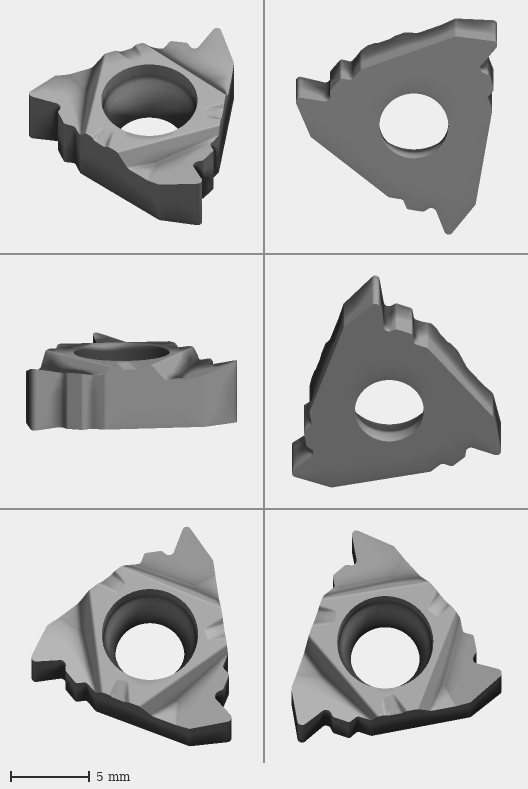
import cadquery as cq
import math

CORNERS = 3
CORNER_STEP = 360 / CORNERS
THICKNESS = 4.1
INRADIUS = 4.76

SHOULDER_Y = -4.62
TIP_Y = -6.91
TIP_START_X = -3.53
TIP_END_X = -3.18
TIP_RADIUS = 0.28
THREAD_FLANK = 60
ROOT_Y = -5.31
ROOT_END_X = -1.92
ROOT_RADIUS = 0.32
CREST_Y = -5.65
CREST_END_X = -0.48
CREST_IN_RADIUS = 0.2
CREST_OUT_RADIUS = 0.19
HEEL_Y = -5.05
HEEL_RADIUS = 0.24
SIDE_RADIUS = 0.27

RAKE_ANGLE = 15
RAKE_Z = 3.99
FACET_ANGLE = 4.4
FACET_Z = 3.11
WALL_HEADING = -31.7
WALL_DISTANCE = 3.5
WALL_ANGLE = 53
GROOVE_RADIUS = 0.28
WALL_TOP_RADIUS = 0.21

BORE_DIAMETER = 4.4
COUNTERBORE_DIAMETER = 6.15
COUNTERBORE_DEPTH = 1.05
COUNTERBORE_TAPER = 5
SEAT_ANGLE = 33
SEAT_BLEND_RADIUS = 0.59

NOTCH_HEADING = 13
NOTCH_NEAR = 0.94
NOTCH_FAR = 1.72
NOTCH_END = -3.33
NOTCH_RAMP_ANGLE = 11
NOTCH_WALL_ANGLE = 40
NOTCH_ROOT_RADIUS = 0.24
NOTCH_TOP_RADIUS = 0.2

REACH = 16.1


def sin(degrees):
    return math.sin(math.radians(degrees))


def cos(degrees):
    return math.cos(math.radians(degrees))


def tan(degrees):
    return math.tan(math.radians(degrees))


def turned(x, y, degrees):
    """Point turned about the hole axis."""
    return x * cos(degrees) - y * sin(degrees), x * sin(degrees) + y * cos(degrees)


def rounded_outline(corners):
    """Closed outline of straight lines with every (x, y, radius) corner rounded."""
    outline = None
    for index, (x, y, radius) in enumerate(corners):
        corner = cq.Vector(x, y)
        back = (cq.Vector(*corners[index - 1][:2]) - corner).normalized()
        ahead = (cq.Vector(*corners[(index + 1) % len(corners)][:2]) - corner).normalized()
        half_angle = back.getAngle(ahead) / 2
        tangent = radius / math.tan(half_angle)
        middle = (back + ahead).normalized() * (radius / math.sin(half_angle) - radius)
        start = corner + back * tangent
        outline = outline.lineTo(start.x, start.y) if outline else cq.Workplane().moveTo(start.x, start.y)
        outline = outline.threePointArc(
            (corner + middle).toTuple()[:2], (corner + ahead * tangent).toTuple()[:2]
        )
    return outline.close()


def half_space(point, normal):
    """Large block that fills the side of a plane to which the normal points."""
    plane = cq.Plane(origin=point, normal=normal)
    return cq.Workplane(plane).rect(2 * REACH, 2 * REACH).extrude(REACH)


def insert_blank():
    root_start_x = TIP_END_X + (ROOT_Y - TIP_Y) / tan(THREAD_FLANK)
    relief_end_x = ROOT_END_X + ROOT_Y - CREST_Y
    heel_start_x = CREST_END_X + (HEEL_Y - CREST_Y) / tan(THREAD_FLANK)
    heel_end_x = (INRADIUS + HEEL_Y * sin(CORNER_STEP / 2)) / cos(CORNER_STEP / 2)
    tooth = [
        (-INRADIUS, SHOULDER_Y, SIDE_RADIUS),
        (TIP_START_X, TIP_Y, TIP_RADIUS),
        (TIP_END_X, TIP_Y, TIP_RADIUS),
        (root_start_x, ROOT_Y, ROOT_RADIUS),
        (ROOT_END_X, ROOT_Y, ROOT_RADIUS),
        (relief_end_x, CREST_Y, CREST_IN_RADIUS),
        (CREST_END_X, CREST_Y, CREST_OUT_RADIUS),
        (heel_start_x, HEEL_Y, HEEL_RADIUS),
        (heel_end_x, HEEL_Y, SIDE_RADIUS),
    ]
    corners = [
        (*turned(x, y, corner * CORNER_STEP), radius)
        for corner in range(CORNERS)
        for x, y, radius in tooth
    ]
    return rounded_outline(corners).extrude(THICKNESS)


def groove_cutter():
    """Space above one rake face; its three lower edges give the groove its blends."""
    across = WALL_HEADING - 90
    rake = half_space((0, TIP_Y, RAKE_Z), (0, sin(RAKE_ANGLE), cos(RAKE_ANGLE)))
    facet = half_space((-INRADIUS, 0, FACET_Z), (sin(FACET_ANGLE), 0, cos(FACET_ANGLE)))
    wall = half_space(
        (WALL_DISTANCE * cos(across), WALL_DISTANCE * sin(across), THICKNESS),
        (cos(across) * sin(WALL_ANGLE), sin(across) * sin(WALL_ANGLE), cos(WALL_ANGLE)),
    )
    room = cq.Workplane().box(REACH, REACH, REACH).translate((0, -REACH / 2, THICKNESS))
    cutter = room.intersect(rake).intersect(facet).intersect(wall)
    low_point = cutter.vertices("<Z").val()
    blends = [
        edge
        for edge in cutter.edges().vals()
        if edge.distance(low_point) < 1.34e-07
    ]
    return cutter.newObject(blends).fillet(GROOVE_RADIUS)


def mounting_hole():
    bore_radius = BORE_DIAMETER / 2
    top_radius = COUNTERBORE_DIAMETER / 2
    taper_radius = top_radius - COUNTERBORE_DEPTH * tan(COUNTERBORE_TAPER)
    taper_z = THICKNESS - COUNTERBORE_DEPTH

    def blend_point(angle):
        return (
            taper_radius - SEAT_BLEND_RADIUS * (cos(COUNTERBORE_TAPER) - cos(angle)),
            taper_z - SEAT_BLEND_RADIUS * (sin(angle) - sin(COUNTERBORE_TAPER)),
        )

    seat_radius, seat_z = blend_point(SEAT_ANGLE)
    flare_radius = (seat_radius - bore_radius) / (1 - cos(SEAT_ANGLE))
    throat_z = seat_z - flare_radius * sin(SEAT_ANGLE)
    flare_middle = (
        bore_radius + flare_radius * (1 - cos(SEAT_ANGLE / 2)),
        throat_z + flare_radius * sin(SEAT_ANGLE / 2),
    )
    return (
        cq.Workplane("XZ")
        .moveTo(0, THICKNESS)
        .lineTo(top_radius, THICKNESS)
        .lineTo(taper_radius, taper_z)
        .threePointArc(blend_point((COUNTERBORE_TAPER + SEAT_ANGLE) / 2), (seat_radius, seat_z))
        .threePointArc(flare_middle, (bore_radius, throat_z))
        .lineTo(bore_radius, 0)
        .lineTo(0, 0)
        .close()
        .revolve()
    )


def round_groove_wall(body):
    """Round the edge between the top face and the groove wall."""
    wall_line = cq.selectors.ParallelDirSelector(cq.Vector(cos(WALL_HEADING), sin(WALL_HEADING), 0))
    return body.faces(">Z").edges(wall_line).fillet(WALL_TOP_RADIUS)


def notch_cutter():
    """Ramped notch in the -X side, built along X and then swung to its heading."""
    fall = tan(NOTCH_RAMP_ANGLE)
    lean = tan(NOTCH_WALL_ANGLE)
    ramp = half_space((NOTCH_END, 0, THICKNESS), (-fall, 0, 1))
    near_wall = half_space((NOTCH_END, NOTCH_NEAR, THICKNESS), (-fall, lean, 1))
    far_wall = half_space((NOTCH_END, NOTCH_FAR, THICKNESS), (-fall, -lean, 1))
    room = cq.Workplane().box(2 * INRADIUS, REACH, REACH).translate((-INRADIUS, 0, 0))
    cutter = room.intersect(ramp).intersect(near_wall).intersect(far_wall)
    roots = cq.selectors.ParallelDirSelector(cq.Vector(1, 0, fall).normalized())
    cutter = cutter.edges(roots).fillet(NOTCH_ROOT_RADIUS)
    return cutter.rotate((0, 0, 0), (0, 0, 1), NOTCH_HEADING)


def round_notch(body):
    """Round the rim of the notch where it breaks through the top face."""
    rim = cq.selectors.BoxSelector(
        (-INRADIUS + 0.01, -INRADIUS / 3, THICKNESS - 0.13), (NOTCH_END + 0.27, INRADIUS / 3, THICKNESS + 0.13)
    )
    return body.faces(">Z").edges(rim).fillet(NOTCH_TOP_RADIUS)


result = insert_blank()
for corner in range(CORNERS):
    result = round_groove_wall(result.cut(groove_cutter()))
    result = round_notch(result.cut(notch_cutter()))
    result = result.rotate((0, 0, 0), (0, 0, 1), CORNER_STEP)
result = result.cut(mounting_hole())